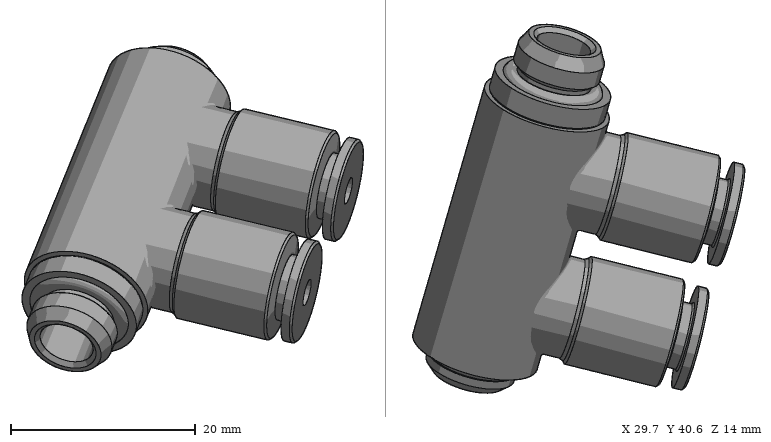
import cadquery as cq
import math


total_length = 40.6
total_width = 29.7

body_diameter = 14.0
body_radius = body_diameter / 2
body_length = 30.0
body_front = 7.5
body_back = body_front + body_length

collar_radius = 6.5
collar_front = 5.05
collar_groove = 0.12
seal_section_radius = 0.9
seal_path_radius = 4.7
seal_sink = 0.2
seal_middle = collar_front + seal_sink
neck_radius = 4.15
neck_front = 4.0
plug_radius = 4.85
plug_back = 3.45
plug_front = 1.45
nose_tip_radius = 4.05

spigot_radius = 4.95
spigot_tip_radius = 3.98
spigot_chamfer_length = 0.97
groove_floor_radius = 4.3
groove_floor_width = 0.95
groove_width = 1.2
groove_floor_back = body_back + groove_floor_width
groove_back = body_back + groove_width
ring_section_radius = 0.53
ring_path_radius = 4.7
ring_distance = 0.65
ring_middle = body_back + ring_distance
ring_gap = 0.5

bore_radius = 3.0
bore_mouth_radius = 3.5
bore_tip_angle = 135.0
passage_radius = 1.45
passage_overlap = 0.15

port_spacing = 15.0
front_port = 15.02
port_positions = [front_port, front_port + port_spacing]
stem_radius = 5.52
stem_end = 8.8
stem_fillet = 0.4
joint_margin = 0.4
step_radius = 5.72
step_end = 9.2
socket_radius = 6.0
socket_start = 9.5
socket_end = 19.95
socket_chamfer = 0.25
face_inner_radius = 3.85
face_end = 20.2
sleeve_radius = 3.65
sleeve_flare = 0.2
flange_radius = 5.7
flange_start = 21.5
flange_end = total_width - body_radius
flange_chamfer = 0.25


def revolve_about_main_axis(points):
    """Turn a closed (radius, y) outline into a solid about the main axis."""
    return cq.Workplane("XY").polyline(points).close().revolve(360, (0, 0, 0), (0, 1, 0))


def revolve_about_port_axis(points, port_y):
    """Turn a closed (x, radius) outline into a solid about the axis of the port at port_y."""
    outline = cq.Workplane("XY", origin=(0, port_y, 0)).polyline(points).close()
    return outline.revolve(360, (0, 0, 0), (1, 0, 0))


def port_cylinder(port_y, radius, length):
    """Cylinder from the main axis out along a port."""
    return cq.Workplane("YZ", origin=(0, port_y, 0)).circle(radius).extrude(length)


def round_ring(path_radius, section_radius, middle_y):
    """Ring of round section around the main axis."""
    section = cq.Workplane("XY").moveTo(-path_radius, middle_y).circle(section_radius)
    return section.revolve(360, (0, 0, 0), (0, 1, 0))


def make_body_with_stems():
    """Plain body with the port stems blended into it."""
    body = cq.Workplane("XZ", origin=(0, body_back, 0)).circle(body_radius).extrude(body_length)
    for port_y in port_positions:
        body = body.union(port_cylinder(port_y, stem_radius, stem_end))
    joint_zone = cq.selectors.BoxSelector(
        (joint_margin, body_front + joint_margin, -body_radius),
        (stem_end - joint_margin, body_back - joint_margin, body_radius),
    )
    return body.edges(joint_zone).edges("not %LINE").fillet(stem_fillet)


def make_socket(port_y):
    """Tube socket with its release sleeve and flange."""
    return revolve_about_port_axis([
        (stem_end, 0),
        (stem_end, stem_radius),
        (step_end, step_radius),
        (socket_start, socket_radius),
        (socket_end - socket_chamfer, socket_radius),
        (socket_end, socket_radius - socket_chamfer),
        (face_end, face_inner_radius),
        (face_end, sleeve_radius),
        (flange_start - sleeve_flare, sleeve_radius),
        (flange_start, sleeve_radius + sleeve_flare),
        (flange_start, flange_radius),
        (flange_end - flange_chamfer, flange_radius),
        (flange_end, flange_radius - flange_chamfer),
        (flange_end, 0),
    ], port_y)


def make_nose():
    """Plug, neck and collar, with the seal ring partly sunk into the collar."""
    nose = revolve_about_main_axis([
        (0, 0),
        (nose_tip_radius, 0),
        (plug_radius, plug_front),
        (plug_radius, plug_back),
        (neck_radius, neck_front),
        (neck_radius, collar_front),
        (collar_radius, collar_front),
        (collar_radius, body_front - collar_groove),
        (collar_radius - collar_groove, body_front - collar_groove),
        (collar_radius - collar_groove, body_front),
        (0, body_front),
    ])
    return nose.union(round_ring(seal_path_radius, seal_section_radius, seal_middle))


def make_spigot():
    """Grooved rear spigot carrying a ring that is split at its top."""
    spigot = revolve_about_main_axis([
        (0, body_back),
        (groove_floor_radius, body_back),
        (groove_floor_radius, groove_floor_back),
        (spigot_radius, groove_back),
        (spigot_radius, total_length - spigot_chamfer_length),
        (spigot_tip_radius, total_length),
        (0, total_length),
    ])
    ring_width = 2 * ring_section_radius
    ring_outer_radius = ring_path_radius + ring_section_radius
    gap = cq.Workplane("XY", origin=(0, ring_middle, 0)).rect(ring_gap, ring_width).extrude(ring_outer_radius)
    ring = round_ring(ring_path_radius, ring_section_radius, ring_middle).cut(gap)
    return spigot.union(ring)


def make_bore():
    """Blind bore with a conical bottom, which the rear passage just breaks into."""
    shoulder = port_positions[-1] + passage_radius - passage_overlap
    apex = shoulder + bore_radius / math.tan(math.radians(bore_tip_angle / 2))
    mouth_depth = bore_mouth_radius - bore_radius
    return revolve_about_main_axis([
        (0, 0),
        (bore_mouth_radius, 0),
        (bore_radius, mouth_depth),
        (bore_radius, shoulder),
        (0, apex),
    ])


result = make_body_with_stems().union(make_nose()).union(make_spigot())
for port_y in port_positions:
    result = result.union(make_socket(port_y))

result = result.cut(make_bore())
for port_y in port_positions:
    result = result.cut(port_cylinder(port_y, passage_radius, flange_end))